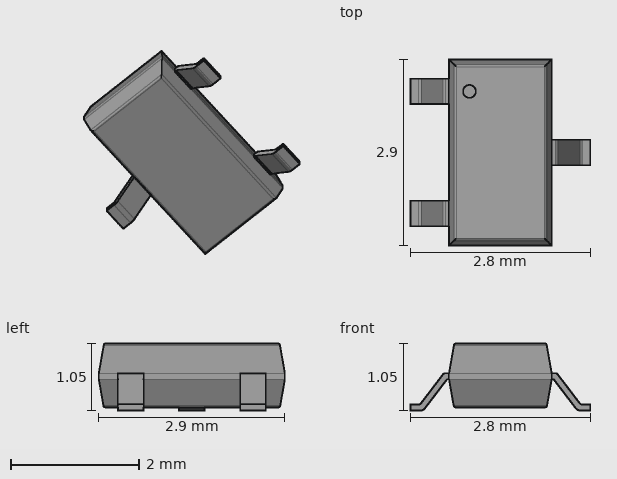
import cadquery as cq
import math

HOUSING_WIDTH = 1.6
HOUSING_LENGTH = 2.9
HOUSING_TOP = 1.05
STANDOFF = 0.05
DRAFT_ANGLE = 10.0
EDGE_RADIUS = 0.04

LEAD_THICKNESS = 0.1
LEAD_WIDTH = 0.4
LEAD_SPAN = 2.8
LEAD_TOP = 0.585
LEAD_PITCH = 1.902
TOE_LENGTH = 0.15
SHOULDER_LENGTH = 0.078
BEND_RADIUS = 0.05
HEEL_RADIUS = 0.1

MARK_DIAMETER = 0.2
MARK_DEPTH = 0.1
MARK_X = -0.48
MARK_Y = LEAD_PITCH / 2

BAND_TOP = LEAD_TOP
BAND_BOTTOM = LEAD_TOP - LEAD_THICKNESS


def housing_block(start_z, height, taper=0.0):
    """Extrude the housing rectangle from start_z; a negative height goes down."""
    return (
        cq.Workplane("XY", origin=(0, 0, start_z))
        .rect(HOUSING_WIDTH, HOUSING_LENGTH)
        .extrude(height, taper=taper)
    )


def make_housing():
    """Drafted housing with rounded rims and a blind pin 1 mark."""
    band = housing_block(BAND_BOTTOM, BAND_TOP - BAND_BOTTOM)
    upper = housing_block(BAND_TOP, HOUSING_TOP - BAND_TOP, DRAFT_ANGLE)
    lower = housing_block(BAND_BOTTOM, STANDOFF - BAND_BOTTOM, DRAFT_ANGLE)
    body = band.union(upper).union(lower)
    body = body.faces(">Z or <Z").edges().fillet(EDGE_RADIUS)
    mark = (
        cq.Workplane("XY", origin=(MARK_X, MARK_Y, HOUSING_TOP - MARK_DEPTH))
        .circle(MARK_DIAMETER / 2)
        .extrude(MARK_DEPTH)
    )
    return body.cut(mark)


def make_lead(center_y):
    """Gull-wing lead on the -X side, butting against the housing band."""
    toe_x = -LEAD_SPAN / 2
    root_x = -HOUSING_WIDTH / 2
    foot_bend_x = toe_x + TOE_LENGTH
    shoulder_bend_x = root_x - SHOULDER_LENGTH
    slope = math.atan2(LEAD_TOP - LEAD_THICKNESS, shoulder_bend_x - foot_bend_x)
    bend_offset = LEAD_THICKNESS * math.tan(slope / 2)

    lead = (
        cq.Workplane("XZ", origin=(0, center_y, 0))
        .moveTo(toe_x, 0)
        .lineTo(foot_bend_x + bend_offset, 0)
        .lineTo(shoulder_bend_x + bend_offset, LEAD_TOP - LEAD_THICKNESS)
        .lineTo(root_x, LEAD_TOP - LEAD_THICKNESS)
        .lineTo(root_x, LEAD_TOP)
        .lineTo(shoulder_bend_x, LEAD_TOP)
        .lineTo(foot_bend_x, LEAD_THICKNESS)
        .lineTo(toe_x, LEAD_THICKNESS)
        .close()
        .extrude(LEAD_WIDTH / 2, both=True)
    )

    def bend_edge(x, z):
        return cq.selectors.NearestToPointSelector((x, center_y, z))

    lead = lead.edges("|Y").edges(bend_edge(foot_bend_x, LEAD_THICKNESS)).fillet(BEND_RADIUS)
    lead = lead.edges("|Y").edges(bend_edge(shoulder_bend_x, LEAD_TOP)).fillet(BEND_RADIUS)
    underside = lead.edges("|Y").edges(bend_edge(foot_bend_x + bend_offset, 0))
    return underside.fillet(HEEL_RADIUS)


housing = make_housing()
left_leads = [make_lead(side * LEAD_PITCH / 2) for side in (-1, 1)]
right_lead = make_lead(0).rotate((0, 0, 0), (0, 0, 1), 180)
leads = left_leads + [right_lead]

result = cq.Compound.makeCompound([housing.val(), *[lead.val() for lead in leads]])